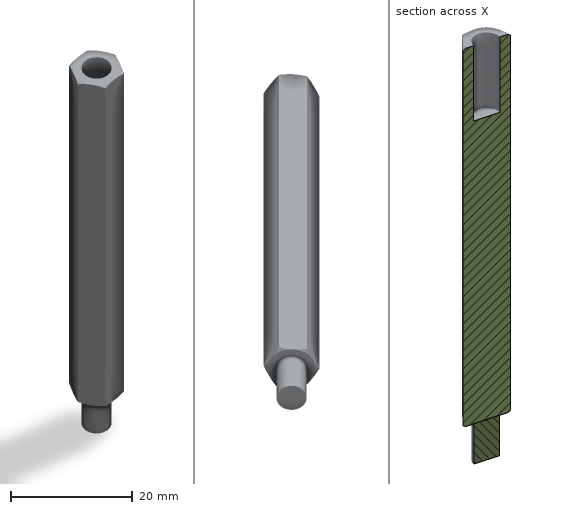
import cadquery as cq
import math

total_length = 83.0
stud_length = 8.0
across_flats = 8.0
thread_diameter = 5.0
socket_depth = 14.9
chamfer_circle = 8.0
chamfer_angle = 30.0

hex_length = total_length - stud_length
across_corners = across_flats / math.cos(math.radians(30))
corner_radius = across_corners / 2
face_radius = chamfer_circle / 2
chamfer_height = (corner_radius - face_radius) * math.tan(math.radians(chamfer_angle))


def make_chamfer_envelope():
    """Round bar with conical ends that trims the corners of the hexagon."""
    return (
        cq.Workplane("XZ")
        .moveTo(0, 0)
        .lineTo(face_radius, 0)
        .lineTo(corner_radius, chamfer_height)
        .lineTo(corner_radius, hex_length - chamfer_height)
        .lineTo(face_radius, hex_length)
        .lineTo(0, hex_length)
        .close()
        .revolve(360, (0, 0, 0), (0, 1, 0))
    )


def make_spacer():
    """Hexagonal bar, corners along Y, with a blind socket in its top end."""
    bar = (
        cq.Workplane("XY")
        .polygon(6, across_corners)
        .extrude(hex_length)
        .rotate((0, 0, 0), (0, 0, 1), 90)
        .intersect(make_chamfer_envelope())
    )
    return bar.faces(">Z").workplane().hole(thread_diameter, socket_depth)


def make_stud():
    """Plain round stud that meets the bottom face of the spacer."""
    return cq.Workplane("XY").circle(thread_diameter / 2).extrude(-stud_length)


spacer = make_spacer()
stud = make_stud()

result = cq.Compound.makeCompound([spacer.val(), stud.val()])